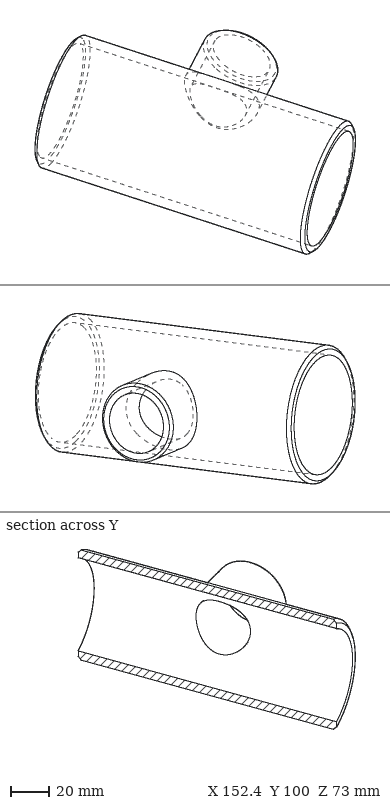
import cadquery as cq

run_length = 152.4
run_diameter = 73.0
run_bore = 63.0

branch_reach = 63.5
branch_diameter = 42.2
wall = (run_diameter - run_bore) / 2
branch_bore = branch_diameter - 2 * wall

run_bevel = 1.8
branch_bevel = 1.5


def run_cylinder(diameter):
    """Cylinder along X, centred on the origin."""
    return cq.Workplane("YZ").circle(diameter / 2).extrude(run_length / 2, both=True)


def branch_cylinder(diameter):
    """Cylinder along +Y from the run axis to the branch end."""
    return cq.Workplane("XZ").circle(diameter / 2).extrude(-branch_reach)


run_body = run_cylinder(run_diameter).faces("<X or >X").chamfer(run_bevel)
branch_body = branch_cylinder(branch_diameter).faces(">Y").chamfer(branch_bevel)

result = (
    run_body.union(branch_body)
    .cut(run_cylinder(run_bore))
    .cut(branch_cylinder(branch_bore))
)